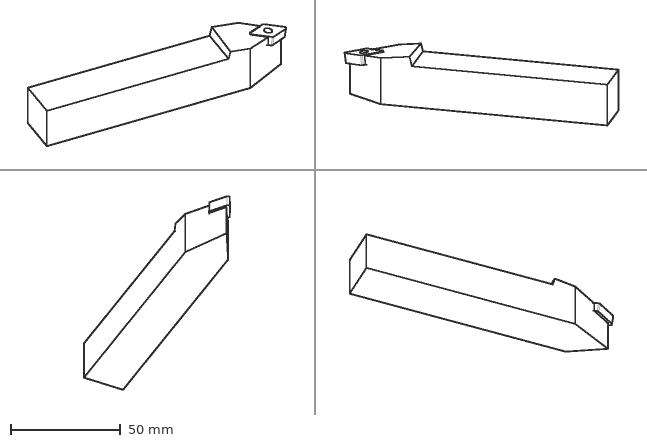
import cadquery as cq
import math

shank_size = 20.0
overall_length = 126.5

head_peak_height = 24.5
head_peak_y = 93.3
step_foot_y = 92.2
nose_x = 9.4
nose_y = 124.0
left_flank_y = 106.9
right_flank_y = 103.2
rake_angle = 8.1
side_tilt = 2.5

insert_x = 9.5
insert_rise = 0.4
insert_inscribed_diameter = 9.5
insert_point_angle = 55.0
insert_corner_radius = 0.9
insert_thickness = 4.8
insert_hole_diameter = 3.8

rake_slope = math.tan(math.radians(rake_angle))
tilt_slope = math.tan(math.radians(side_tilt))

half_point_angle = math.radians(insert_point_angle / 2)
insert_half_width = insert_inscribed_diameter / 2 / math.cos(half_point_angle)
insert_half_length = insert_inscribed_diameter / 2 / math.sin(half_point_angle)

corner_setback = insert_corner_radius * (1 / math.sin(half_point_angle) - 1)
face_normal_y = rake_slope / math.sqrt(1 + rake_slope**2 + tilt_slope**2)
insert_reach = (insert_half_length - corner_setback) * math.sqrt(1 - face_normal_y**2)
insert_y = overall_length - insert_reach


def head_height(x, y):
    """Height of the sloping head face above the underside."""
    return head_peak_height - rake_slope * (y - head_peak_y) - tilt_slope * x


insert_plane = cq.Plane(
    origin=(insert_x, insert_y, head_height(insert_x, insert_y) + insert_rise),
    xDir=(1, 0, -tilt_slope),
    normal=(tilt_slope, rake_slope, 1),
)


def make_insert_blank():
    """Insert without its hole, extruded down from the insert face."""
    return (
        cq.Workplane(insert_plane)
        .polyline([
            (0, insert_half_length),
            (insert_half_width, 0),
            (0, -insert_half_length),
            (-insert_half_width, 0),
        ])
        .close()
        .extrude(-insert_thickness)
        .edges(cq.selectors.ParallelDirSelector(insert_plane.zDir))
        .fillet(insert_corner_radius)
    )


def make_insert_core():
    """Cylinder that fills the hole of the insert."""
    return cq.Workplane(insert_plane).circle(insert_hole_diameter / 2).extrude(-insert_thickness)


def make_insert():
    """Rhombic insert with its through hole."""
    return make_insert_blank().cut(make_insert_core())


def make_holder_blank():
    """Square shank with a pointed, raised head."""
    blank = (
        cq.Workplane("XY")
        .polyline([
            (0, 0),
            (shank_size, 0),
            (shank_size, right_flank_y),
            (nose_x, nose_y),
            (0, left_flank_y),
        ])
        .close()
        .extrude(head_peak_height)
    )
    above_shank = (
        cq.Workplane("YZ")
        .polyline([
            (0, shank_size),
            (step_foot_y, shank_size),
            (head_peak_y, head_peak_height),
            (0, head_peak_height),
        ])
        .close()
        .extrude(shank_size)
    )
    return blank.cut(above_shank)


def make_space_above_head():
    """Block resting on the sloping head face."""
    head_plane = cq.Plane(
        origin=(0, head_peak_y, head_peak_height),
        xDir=insert_plane.xDir,
        normal=insert_plane.zDir,
    )
    block_side = 2 * overall_length
    return cq.Workplane(head_plane).rect(block_side, block_side).extrude(shank_size)


def make_holder():
    """Holder with the insert pocket and the pin standing in the insert hole."""
    holder = make_holder_blank().cut(make_space_above_head())
    return holder.cut(make_insert_blank()).union(make_insert_core())


holder = make_holder()
insert = make_insert()

result = cq.Compound.makeCompound([holder.val(), insert.val()])